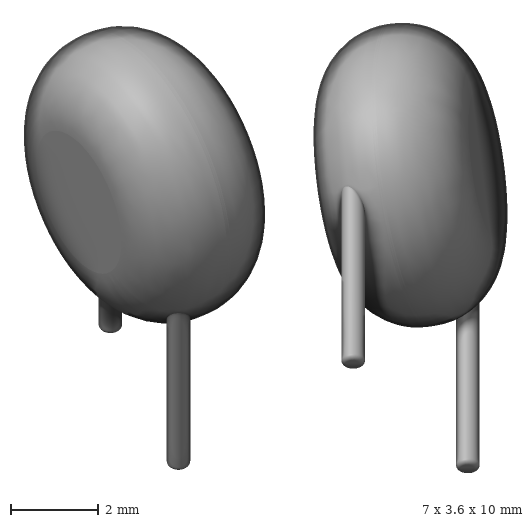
import cadquery as cq

body_diameter = 7.0
body_thickness = 3.6
edge_radius = body_diameter / 4

total_height = 10.03
lead_diameter = 0.54
lead_offset_x = 2.5
lead_offset_y = 0.73
lead_tip_radius = 0.11
lead_length = total_height - body_diameter / 2


def make_body():
    """Disc with both rims rounded, leaving a narrow straight band between them."""
    disc = cq.Workplane("XZ").circle(body_diameter / 2).extrude(body_thickness / 2, both=True)
    return disc.edges().fillet(edge_radius)


def make_lead(x, y):
    """Vertical lead starting inside the body, with a rounded lower tip."""
    lead = cq.Workplane("XY").center(x, y).circle(lead_diameter / 2).extrude(-lead_length)
    return lead.faces("<Z").edges().fillet(lead_tip_radius)


result = make_body()
for side in (-1, 1):
    result = result.union(make_lead(side * lead_offset_x, -side * lead_offset_y))